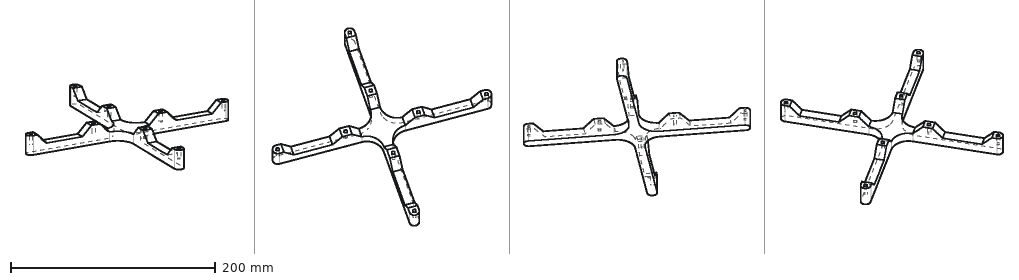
import cadquery as cq
import math

span = 161.4
base_height = 10.0
boss_height = 10.0
arm_width = 10.0
hole_diameter = 3.2
hole_depth = boss_height
ramp_length = 10.0
inner_boss_radius = 37.3
arm_count = 4
first_arm_angle = 45

half_width = arm_width / 2
total_height = base_height + boss_height
tip_radius = (span / 2 - half_width) * math.sqrt(2)
hub_reach = inner_boss_radius - half_width - ramp_length
fillet_radius = hub_reach - half_width
fillet_centre = hub_reach * math.sqrt(2)
hub_waist = fillet_centre - fillet_radius


def make_hub():
    """Central plate whose four concave sides run tangent into the arms."""
    near = (hub_reach - half_width) / math.sqrt(2)
    far = (hub_reach + half_width) / math.sqrt(2)
    return (
        cq.Workplane("XY")
        .moveTo(near, far)
        .threePointArc((0, hub_waist), (-near, far))
        .lineTo(-far, near)
        .threePointArc((-hub_waist, 0), (-far, -near))
        .lineTo(-near, -far)
        .threePointArc((0, -hub_waist), (near, -far))
        .lineTo(far, -near)
        .threePointArc((hub_waist, 0), (far, near))
        .close()
        .extrude(base_height)
    )


def make_arm():
    """Arm along +X with an inner boss, a tip boss, a round end and two holes."""
    inner_flat_start = inner_boss_radius - half_width
    inner_flat_end = inner_boss_radius + half_width
    tip_flat_start = tip_radius - half_width
    side_profile = [
        (0, 0),
        (0, base_height),
        (inner_flat_start - ramp_length, base_height),
        (inner_flat_start, total_height),
        (inner_flat_end, total_height),
        (inner_flat_end + ramp_length, base_height),
        (tip_flat_start - ramp_length, base_height),
        (tip_flat_start, total_height),
        (tip_radius, total_height),
        (tip_radius, 0),
    ]
    arm = cq.Workplane("XZ").polyline(side_profile).close().extrude(half_width, both=True)
    round_end = cq.Workplane("XY").center(tip_radius, 0).circle(half_width).extrude(total_height)
    holes = (
        cq.Workplane("XY", origin=(0, 0, total_height))
        .pushPoints([(inner_boss_radius, 0), (tip_radius, 0)])
        .circle(hole_diameter / 2)
        .extrude(-hole_depth)
    )
    return arm.union(round_end).cut(holes)


result = make_hub()
arm = make_arm()
for index in range(arm_count):
    angle = first_arm_angle + index * 360 / arm_count
    result = result.union(arm.rotate((0, 0, 0), (0, 0, 1), angle))